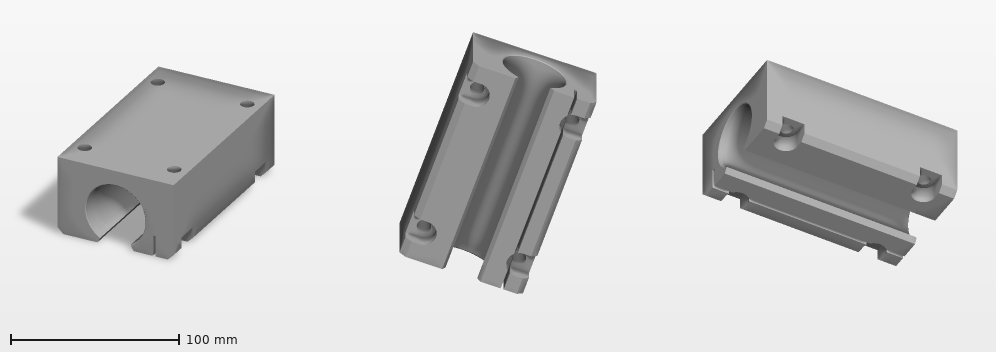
import cadquery as cq
import math

width = 78
length = 130
height = 51.0
edge_chamfer = 3.9

bore_diameter = 40.0
bore_height = 21.0
bore_chamfer = 0.5
opening_half_angle = 30

slot_offset = 25.9
slot_width = 2.0
slot_depth = 13.8

hole_diameter = 8.6
hole_spacing_x = 60.0
hole_spacing_y = 94.0
recess_width = 15.1
recess_depth = 11.0


def make_block():
    """Rectangular housing with chamfered lower long edges."""
    block = cq.Workplane("XY").box(width, length, height, centered=(True, True, False))
    return block.faces("<Z").edges("|Y").chamfer(edge_chamfer)


def make_bore():
    """Through bore with a small countersink at each end."""
    radius = bore_diameter / 2
    end_plane = cq.Workplane("XZ", origin=(0, length / 2, bore_height))
    cylinder = end_plane.circle(radius).extrude(length)
    for end in (-1, 1):
        axis_start = cq.Vector(0, end * length / 2, bore_height)
        cone = cq.Solid.makeCone(
            radius + bore_chamfer, radius, bore_chamfer, axis_start, cq.Vector(0, -end, 0)
        )
        cylinder = cylinder.union(cq.Workplane(cone))
    return cylinder


def make_opening():
    """Wedge whose sides run radially from the bore axis to the underside."""
    half_width = bore_height * math.tan(math.radians(opening_half_angle))
    profile = cq.Workplane("XZ", origin=(0, length / 2, 0)).polyline(
        [(0, bore_height), (half_width, 0), (-half_width, 0)]
    )
    return profile.close().extrude(length)


def make_slot():
    """Narrow full-length slot rising from the underside."""
    slot = cq.Workplane("XY").box(slot_width, length, slot_depth, centered=(True, True, False))
    return slot.translate((slot_offset, 0, 0))


def make_mounting_hole(side, y):
    """Vertical hole and a round-ended recess running out through one long side."""
    x = side * hole_spacing_x / 2
    hole = cq.Workplane("XY").center(x, y).circle(hole_diameter / 2).extrude(height)
    round_end = cq.Workplane("XY").center(x, y).circle(recess_width / 2).extrude(recess_depth)
    run_out = width / 2 - hole_spacing_x / 2
    channel = (
        cq.Workplane("XY")
        .center(x + side * run_out / 2, y)
        .rect(run_out, recess_width)
        .extrude(recess_depth)
    )
    return hole.union(round_end).union(channel)


result = make_block().cut(make_bore()).cut(make_opening()).cut(make_slot())
for side in (-1, 1):
    for end in (-1, 1):
        result = result.cut(make_mounting_hole(side, end * hole_spacing_y / 2))